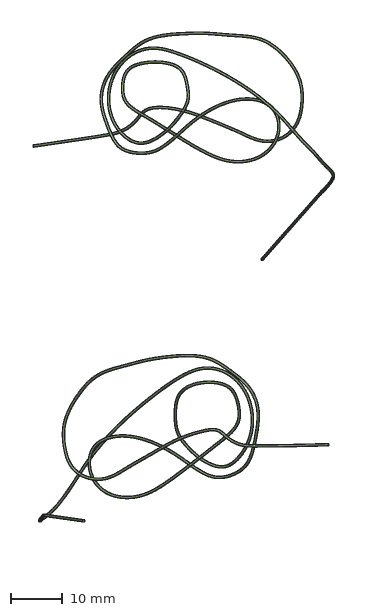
import cadquery as cq

WIRE_DIAMETER = 0.5
STRETCH_COUNT = 24

lead_in = [
    (-28.25, -22.85, 19.85),
    (-21.5, -19.3, 22.2),
    (-15.9, -16.1, 24.1),
    (-12.8, -14.3, 25.75),
    (-11.3, -12.5, 27.6),
    (-10.2, -11.4, 29.75),
    (-6.9, -10.55, 32.2),
    (-1.9, -9.05, 32.65),
    (3.9, -8.0, 32.15),
    (9.3, -6.8, 31.0),
    (13.95, -5.3, 30.0),
    (17.0, -2.4, 30.9),
]
outer_loop = [
    (18.1, 0.0, 33.6),
    (17.9, 1.6, 35.9),
    (15.6, 4.65, 38.55),
    (10.1, 7.15, 41.0),
    (4.3, 8.2, 41.0),
    (-2.3, 7.15, 39.4),
    (-6.5, 5.7, 38.7),
    (-10.6, 3.8, 38.0),
    (-16.95, -0.9, 36.2),
    (-19.0, -4.1, 33.8),
    (-20.4, -8.6, 30.9),
    (-20.0, -11.1, 28.8),
    (-15.7, -15.8, 26.7),
    (-11.05, -18.9, 26.25),
    (-6.5, -19.7, 27.8),
    (-2.75, -18.9, 29.9),
    (-0.7, -17.0, 32.0),
]
side_loop = [
    (1.4, -12.9, 34.6),
    (5.15, -5.6, 36.1),
    (9.3, -1.6, 35.7),
    (12.3, -0.75, 34.7),
    (14.8, -2.0, 33.4),
    (16.2, -5.3, 31.3),
    (15.2, -8.2, 29.5),
    (10.1, -12.2, 28.4),
    (5.15, -13.5, 29.25),
    (0.6, -14.1, 30.7),
]
inner_loop = [
    (-7.7, -15.1, 33.65),
    (-12.55, -14.3, 34.3),
    (-14.9, -11.55, 35.1),
    (-15.9, -7.8, 35.4),
    (-13.8, -4.5, 35.5),
    (-9.4, -2.7, 35.9),
    (-6.5, -3.5, 36.55),
    (-3.15, -6.6, 36.4),
    (-1.2, -9.9, 36.3),
    (-1.2, -12.9, 35.0),
    (-2.5, -16.2, 32.7),
]
middle_loop = [
    (-4.8, -18.0, 30.5),
    (-8.15, -18.0, 28.5),
    (-13.6, -16.2, 28.5),
    (-16.5, -13.9, 29.9),
    (-18.6, -9.05, 33.0),
    (-17.4, -4.7, 35.7),
    (-14.45, -2.0, 36.9),
    (-9.4, -0.6, 37.1),
    (-4.0, -0.7, 37.7),
    (6.0, -1.6, 38.1),
    (16.0, -3.2, 36.55),
]
shoulder = [
    (22.3, -4.9, 34.6),
    (25.6, -5.6, 33.4),
    (27.0, -5.0, 31.15),
    (28.2, -3.65, 28.0),
    (27.4, -2.1, 24.5),
    (24.75, 0.9, 18.5),
    (21.85, 3.8, 12.55),
]
leg_top = (18.8, 6.6, 6.5)
leg_end = (-4.8, 22.9, -41.4)


def tangled_curve():
    """Smooth curve through all waypoints that runs straight into the leg."""
    waypoints = lead_in + outer_loop + side_loop + inner_loop + middle_loop + shoulder + [leg_top]
    points = [cq.Vector(*waypoint) for waypoint in waypoints]
    start_direction = (points[1] - points[0]).normalized()
    leg_direction = (cq.Vector(*leg_end) - cq.Vector(*leg_top)).normalized()
    return cq.Edge.makeSpline(points, tangents=[start_direction, leg_direction])


def split_into_stretches(curve, count):
    """Cut a curve into stretches of equal parameter length, so that it sweeps reliably."""
    first, last = curve.bounds()
    step = (last - first) / count
    return [curve.trim(first + i * step, first + (i + 1) * step) for i in range(count)]


curve = tangled_curve()
leg = cq.Edge.makeLine(cq.Vector(*leg_top), cq.Vector(*leg_end))
centreline = cq.Wire.assembleEdges(split_into_stretches(curve, STRETCH_COUNT) + [leg])

free_end = cq.Plane(origin=curve.startPoint(), normal=curve.tangentAt(0))
result = cq.Workplane(free_end).circle(WIRE_DIAMETER / 2).sweep(centreline)